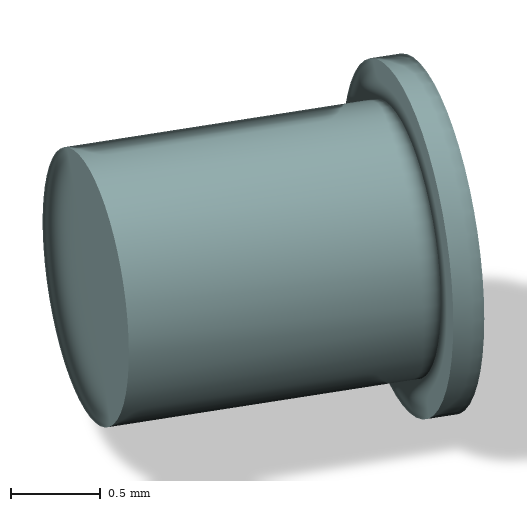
import cadquery as cq

head_diameter = 2.03
pin_diameter = 1.575
total_length = 2.0
head_thickness = 0.18
pin_length = total_length - head_thickness

pin = cq.Workplane("XZ").circle(pin_diameter / 2).extrude(pin_length)
head = cq.Workplane("XZ").circle(head_diameter / 2).extrude(-head_thickness)

result = head.union(pin)